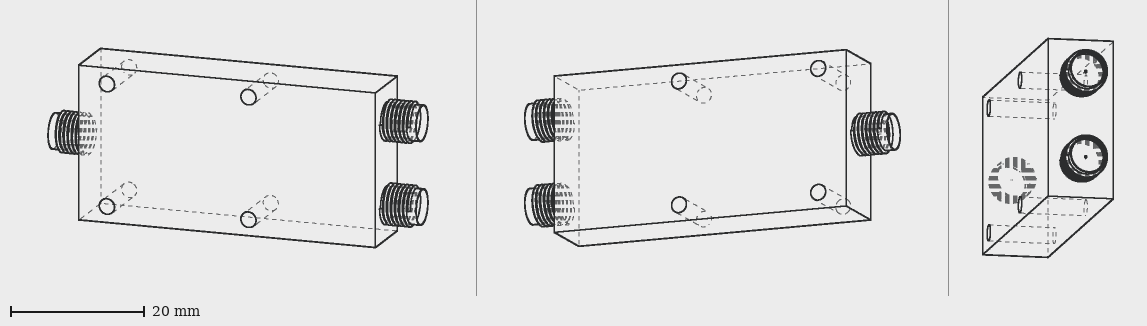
import cadquery as cq

HOUSING_LENGTH = 47.0
HOUSING_DEPTH = 10.0
HOUSING_HEIGHT = 24.0

HOLE_DIAMETER = 2.4
HOLE_SPACING_X = 22.4
HOLE_SPACING_Z = 19.0
HOLE_EDGE_DISTANCE = 4.5

OVERALL_LENGTH = 58.24
CONNECTOR_LENGTH = (OVERALL_LENGTH - HOUSING_LENGTH) / 2
CONNECTOR_SPACING = 13.0
BARREL_DIAMETER = 5.5
SOCKET_DIAMETER = 5.3
SOCKET_DEPTH = 2.0
CONTACT_HOLE_DIAMETER = 0.3
CONTACT_HOLE_DEPTH = 1.0

THREAD_DIAMETER = 6.35
THREAD_PITCH = 0.64
THREAD_TURNS = 7
THREAD_BASE_WIDTH = 0.6
THREAD_ROOT_OVERLAP = 0.03


def make_housing():
    block = cq.Workplane("XY").box(HOUSING_LENGTH, HOUSING_DEPTH, HOUSING_HEIGHT)
    first_x = HOLE_EDGE_DISTANCE - HOUSING_LENGTH / 2
    hole_places = [
        (x, side * HOLE_SPACING_Z / 2)
        for x in (first_x, first_x + HOLE_SPACING_X)
        for side in (-1, 1)
    ]
    holes = (
        cq.Workplane("XZ")
        .pushPoints(hole_places)
        .circle(HOLE_DIAMETER / 2)
        .extrude(HOUSING_DEPTH, both=True)
    )
    return block.cut(holes)


def make_thread_ridge():
    """A V-shaped ridge wound around +Z, trimmed flush with the plane Z = 0."""
    root_radius = BARREL_DIAMETER / 2 - THREAD_ROOT_OVERLAP
    crest_radius = THREAD_DIAMETER / 2
    half_base = THREAD_BASE_WIDTH / 2
    helix = cq.Wire.makeHelix(THREAD_PITCH, THREAD_TURNS * THREAD_PITCH, root_radius)
    ridge = (
        cq.Workplane("XZ")
        .polyline([(root_radius, -half_base), (crest_radius, 0), (root_radius, half_base)])
        .close()
        .sweep(cq.Workplane(helix), isFrenet=True)
    )
    below_face = cq.Workplane("XY").circle(THREAD_DIAMETER).extrude(-THREAD_PITCH)
    return ridge.cut(below_face)


def make_connector():
    """A threaded coaxial connector standing on Z = 0, with its open end up."""
    barrel = cq.Workplane("XY").circle(BARREL_DIAMETER / 2).extrude(CONNECTOR_LENGTH)
    return (
        barrel.union(make_thread_ridge())
        .faces(">Z")
        .workplane(origin=(0, 0, CONNECTOR_LENGTH))
        .hole(SOCKET_DIAMETER, SOCKET_DEPTH)
        .faces(">Z")
        .workplane(origin=(0, 0, CONNECTOR_LENGTH))
        .hole(CONTACT_HOLE_DIAMETER, SOCKET_DEPTH + CONTACT_HOLE_DEPTH)
    )


def connector_location(side, height):
    """Seat on the housing end at `side` (-1 or +1), turned half a turn from one end to the other."""
    seat = cq.Plane(
        origin=(side * HOUSING_LENGTH / 2, 0, height),
        xDir=(0, -side, 0),
        normal=(side, 0, 0),
    )
    return seat.location


housing = make_housing()

connector = make_connector()
connector_places = [
    (-1, 0),
    (1, -CONNECTOR_SPACING / 2),
    (1, CONNECTOR_SPACING / 2),
]
connectors = [connector.val().moved(connector_location(*place)) for place in connector_places]

result = cq.Compound.makeCompound([housing.val(), *connectors])